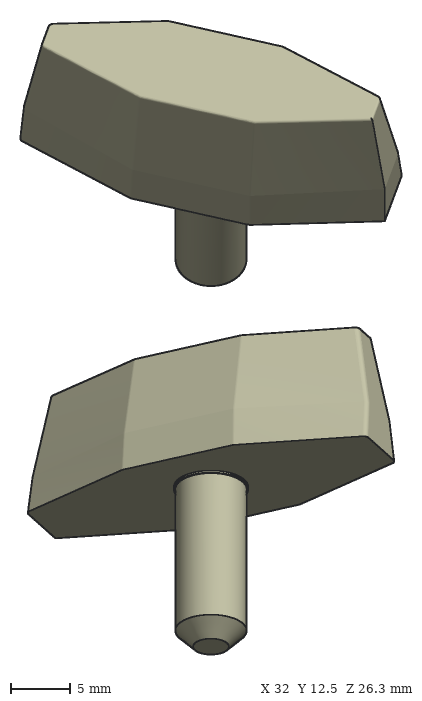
import cadquery as cq

shank_diameter = 6.0
shank_length = 15.0
tip_chamfer = 1.5
collar_diameter = 6.27
collar_height = 0.2

head_height = 11.3
seam_height = 3.55
corner_radius = 0.48
rim_radius = 0.2

base_section = (32, 12.5, 10.43, 5.45)
seam_section = (31.68, 12.03, 10.3, 4.3)
top_section = (29.0, 8.67, 10.05, 2.55)

rounded_corners = "not(>(1, -1, 0))"


def head_outline(length, width, flat_length, end_width):
    """Elongated octagon with seven rounded corners and a sharp one."""
    half_length = length / 2
    half_width = width / 2
    half_flat = flat_length / 2
    half_end = end_width / 2
    corners = [
        (half_length, -half_end),
        (half_length, half_end),
        (half_flat, half_width),
        (-half_flat, half_width),
        (-half_length, half_end),
        (-half_length, -half_end),
        (-half_flat, -half_width),
        (half_flat, -half_width),
    ]
    closed_corners = corners + corners[:1]
    return cq.Sketch().polygon(closed_corners).vertices(rounded_corners).fillet(corner_radius)


def tapered_block(lower_section, upper_section, bottom, height):
    """Straight-sided transition between two head sections."""
    return (
        cq.Workplane("XY", origin=(0, 0, bottom))
        .placeSketch(
            head_outline(*lower_section),
            head_outline(*upper_section).moved(cq.Location(cq.Vector(0, 0, height))),
        )
        .loft(ruled=True)
    )


def make_head():
    """Slightly drafted skirt below a steeper upper part with a rounded rim."""
    skirt = tapered_block(base_section, seam_section, 0, seam_height)
    upper = tapered_block(seam_section, top_section, seam_height, head_height - seam_height)
    upper = upper.faces(">Z").edges().fillet(rim_radius)
    return skirt.union(upper)


def make_shank():
    """Round pin with a chamfered tip and a thin collar under the head."""
    pin = cq.Workplane("XY").circle(shank_diameter / 2).extrude(-shank_length)
    pin = pin.faces("<Z").edges().chamfer(tip_chamfer)
    collar = cq.Workplane("XY").circle(collar_diameter / 2).extrude(-collar_height)
    return pin.union(collar)


result = make_head().union(make_shank())